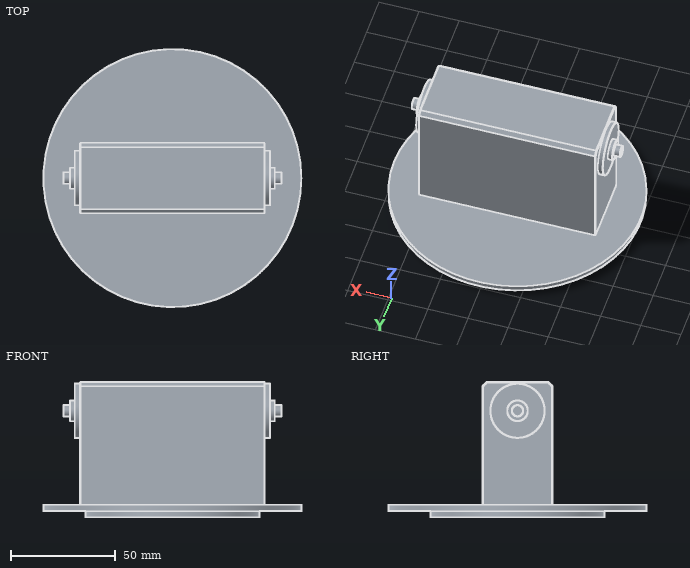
import cadquery as cq

flange_diameter = 123.0
flange_thickness = 3.0
spigot_diameter = 83.0
spigot_height = 3.0

housing_length = 88.2
housing_width = 33.5
housing_height = 58.5
top_edge_chamfer = 2.0
end_face_chamfer = 0.4

pivot_drop = 13.75
disc_diameter = 26.0
disc_thickness = 2.5
collar_diameter = 10.0
collar_thickness = 2.25
pin_diameter = 5.6
pin_length = 3.15
pin_tip_chamfer = 0.25
rim_chamfer = 0.2

flange_top = spigot_height + flange_thickness
pivot_height = flange_top + housing_height - pivot_drop


def make_base():
    """Spigot with its underside at Z = 0 and the flange on top of it."""
    spigot = cq.Workplane("XY").circle(spigot_diameter / 2).extrude(spigot_height)
    flange = (
        cq.Workplane("XY")
        .workplane(offset=spigot_height)
        .circle(flange_diameter / 2)
        .extrude(flange_thickness)
    )
    return spigot.union(flange)


def make_housing():
    """Block with chamfered long top edges and a small bevel around each end face."""
    block = (
        cq.Workplane("XY")
        .workplane(offset=flange_top)
        .rect(housing_length, housing_width)
        .extrude(housing_height)
    )
    block = block.faces(">Z").edges("|X").chamfer(top_edge_chamfer)
    bevelled_edges = block.faces("<X or >X").edges("not <Z")
    return block.newObject(bevelled_edges.vals()).chamfer(end_face_chamfer)


def make_pivot(side):
    """Disc, collar and pin pointing outwards; side is +1 for +X and -1 for -X."""
    end_plane = cq.Plane(
        origin=(side * housing_length / 2, 0, pivot_height),
        xDir=(0, 1, 0),
        normal=(side, 0, 0),
    )
    disc = cq.Workplane(end_plane).circle(disc_diameter / 2).extrude(disc_thickness)
    collar_plane = cq.Workplane(end_plane).workplane(offset=disc_thickness)
    collar = collar_plane.circle(collar_diameter / 2).extrude(collar_thickness)
    pin_plane = collar_plane.workplane(offset=collar_thickness)
    pin = pin_plane.circle(pin_diameter / 2).extrude(pin_length)
    outer_face = ">X" if side > 0 else "<X"
    disc = disc.faces(outer_face).chamfer(rim_chamfer)
    collar = collar.faces(outer_face).chamfer(rim_chamfer)
    pin = pin.faces(outer_face).chamfer(pin_tip_chamfer)
    return disc.union(collar).union(pin)


result = make_base().union(make_housing())
for side in (-1, 1):
    result = result.union(make_pivot(side))